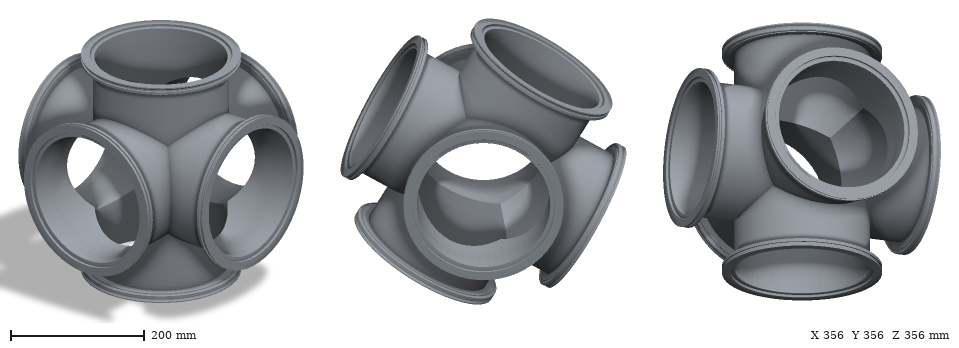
import cadquery as cq

overall_length = 356.0
half_length = overall_length / 2
tube_outer_radius = 204.0 / 2
bore_radius = 200.0 / 2

flange_radius = 240.3 / 2
flange_thickness = 12.0
back_chamfer = 1.0
recess_radius = 106.8
recess_depth = 4.0
edge_chamfer = 0.5
tube_end_depth = 6.0

groove_depth = 2.5
lip_width = 1.8
groove_back = 6.8

back_groove_inner_radius = 113.2
back_groove_outer_radius = 118.0
back_groove_depth = 1.5

tube_half_length = half_length - tube_end_depth

end_rotations = [
    ((1, 0, 0), 0),
    ((1, 0, 0), 90),
    ((1, 0, 0), 180),
    ((1, 0, 0), 270),
    ((0, 1, 0), 90),
    ((0, 1, 0), 270),
]


def crossed_cylinders(radius):
    """Three equal cylinders along X, Y and Z, joined at the origin."""
    along_x = cq.Workplane("YZ").circle(radius).extrude(tube_half_length, both=True)
    along_y = cq.Workplane("XZ").circle(radius).extrude(tube_half_length, both=True)
    along_z = cq.Workplane("XY").circle(radius).extrude(tube_half_length, both=True)
    return along_x.union(along_y).union(along_z)


def make_cross():
    """Hollow six-way cross whose tube ends sit in the flange sockets."""
    return crossed_cylinders(tube_outer_radius).cut(crossed_cylinders(bore_radius))


def make_top_flange():
    """Flange on the +Z end, revolved from its radial section."""
    face = half_length
    back = face - flange_thickness
    recess_floor = face - recess_depth
    groove_radius = flange_radius - groove_depth
    section = [
        (recess_radius + edge_chamfer, face),
        (flange_radius, face),
        (flange_radius, face - lip_width),
        (groove_radius, face - lip_width - groove_depth),
        (groove_radius, face - groove_back),
        (flange_radius, face - groove_back),
        (flange_radius, back + back_chamfer),
        (flange_radius - back_chamfer, back),
        (back_groove_outer_radius, back),
        (back_groove_outer_radius, back + back_groove_depth),
        (back_groove_inner_radius, back + back_groove_depth),
        (back_groove_inner_radius, back),
        (tube_outer_radius, back),
        (tube_outer_radius, tube_half_length),
        (bore_radius, tube_half_length),
        (bore_radius, recess_floor - edge_chamfer),
        (bore_radius + edge_chamfer, recess_floor),
        (recess_radius, recess_floor),
        (recess_radius, face - edge_chamfer),
    ]
    return cq.Workplane("XZ").polyline(section).close().revolve(360, (0, 0, 0), (0, 1, 0))


cross = make_cross()

top_flange = make_top_flange()
flanges = []
for axis, angle in end_rotations:
    flange = top_flange.rotate((0, 0, 0), axis, angle)
    flanges.append(flange.val())

result = cq.Compound.makeCompound([cross.val(), *flanges])